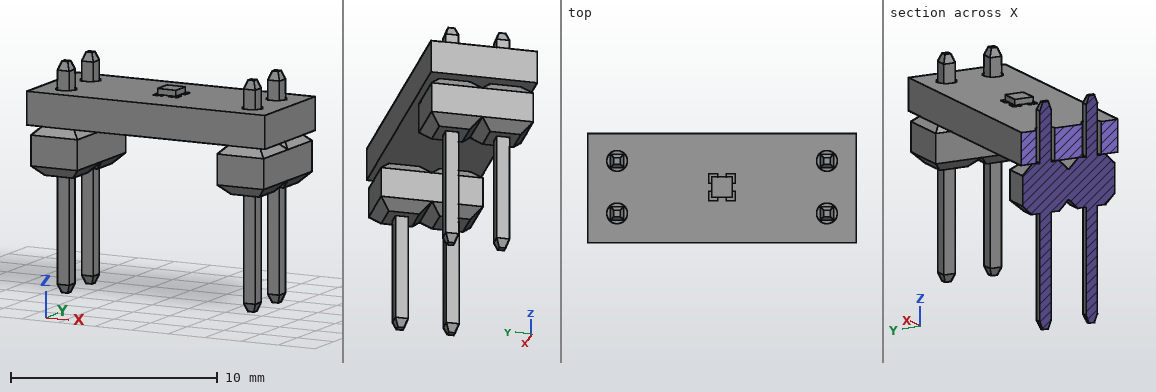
import cadquery as cq

pitch = 2.54
pins_per_header = 2
header_spacing = 4 * pitch

housing_height = pitch
housing_chamfer = pitch / 5

pin_width = 0.64
pin_tip_width = pin_width / 2
pin_tip_length = 0.43
pin_length = 11.43
pin_below_housing = 5.84

board_length = 13.0
board_width = 5.3
board_thickness = 1.67
board_offset_y = -0.05
board_bottom = housing_height
board_top = board_bottom + board_thickness
pin_hole_diameter = 1.0

chip_size = 1.0
chip_height = 0.3
pad_overhang = 0.15
pad_length = 0.45
pad_thickness = 0.035
pad_center = chip_size / 2 + pad_overhang - pad_length / 2

header_xs = [-header_spacing / 2, header_spacing / 2]
pin_ys = [(i - (pins_per_header - 1) / 2) * pitch for i in range(pins_per_header)]


def make_box(length, width, height, bottom):
    """Box centred on the Z axis, standing on the given level."""
    return cq.Workplane("XY", origin=(0, 0, bottom)).box(length, width, height, centered=(True, True, False))


def make_pin():
    """Square pin on the Z axis with a tapered tip at each end."""
    bottom = -pin_below_housing
    shank_bottom = bottom + pin_tip_length
    shank_length = pin_length - 2 * pin_tip_length
    shank_top = shank_bottom + shank_length
    pin = make_box(pin_width, pin_width, shank_length, shank_bottom)
    for shank_end, tip_end in ((shank_bottom, bottom), (shank_top, bottom + pin_length)):
        tip = (
            cq.Workplane("XY", origin=(0, 0, shank_end))
            .rect(pin_width, pin_width)
            .workplane(offset=tip_end - shank_end)
            .rect(pin_tip_width, pin_tip_width)
            .loft(ruled=True)
        )
        pin = pin.union(tip)
    return pin


def make_housing_cell():
    """Housing block around one pin, chamfered around its top and bottom faces."""
    return make_box(pitch, pitch, housing_height, 0).faces("|Z").edges().chamfer(housing_chamfer)


def make_header(x):
    """Housing cells and their pins as a single solid."""
    cell = make_housing_cell().union(make_pin())
    header = cell.translate((x, pin_ys[0], 0))
    for y in pin_ys[1:]:
        header = header.union(cell.translate((x, y, 0)))
    return header


def make_pads():
    """Four corner pads, their tops level with the top of the board."""
    return (
        cq.Workplane("XY", origin=(0, 0, board_top))
        .rect(2 * pad_center, 2 * pad_center, forConstruction=True)
        .vertices()
        .rect(pad_length, pad_length)
        .extrude(-pad_thickness)
    )


def make_board():
    """Board with a round clearance hole for every pin and a recess for every chip pad."""
    plate = make_box(board_length, board_width, board_thickness, board_bottom)
    holes = (
        cq.Workplane("XY", origin=(0, 0, board_bottom))
        .pushPoints([(x, y) for x in header_xs for y in pin_ys])
        .circle(pin_hole_diameter / 2)
        .extrude(board_thickness)
    )
    return plate.translate((0, board_offset_y, 0)).cut(holes).cut(make_pads())


def make_chip():
    """Square chip joined to its corner pads, each showing as an L outside the chip."""
    return make_box(chip_size, chip_size, chip_height, board_top).union(make_pads())


board = make_board()
chip = make_chip()
headers = [make_header(x) for x in header_xs]

result = cq.Compound.makeCompound([board.val(), chip.val(), *[header.val() for header in headers]])